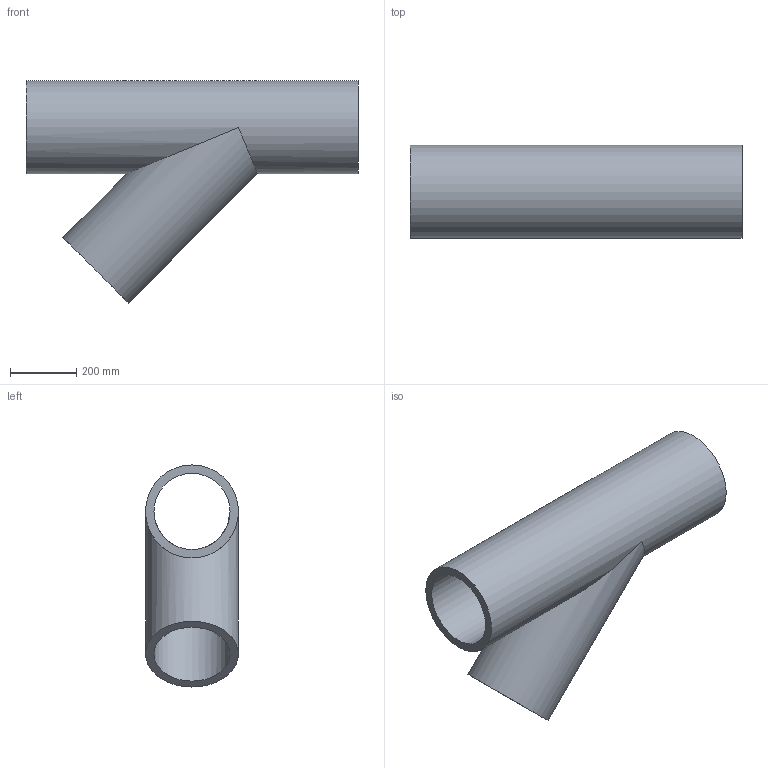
import cadquery as cq
import math

outer_diameter = 280.0
bore_diameter = 229.2
run_length = 1000.0
branch_length = 608.0
branch_angle = 45.0
run_start_to_crossing = 640.0

crossing = cq.Vector(0, 0, 0)
run_start = cq.Vector(-run_start_to_crossing, 0, 0)
run_direction = cq.Vector(1, 0, 0)
branch_direction = cq.Vector(
    -math.cos(math.radians(branch_angle)),
    0,
    -math.sin(math.radians(branch_angle)),
)


def wye_body(diameter):
    """Solid run and branch of one diameter, joined at the axis crossing."""
    radius = diameter / 2
    run = cq.Solid.makeCylinder(radius, run_length, run_start, run_direction)
    branch = cq.Solid.makeCylinder(radius, branch_length, crossing, branch_direction)
    return cq.Workplane(obj=run).union(cq.Workplane(obj=branch))


result = wye_body(outer_diameter).cut(wye_body(bore_diameter))